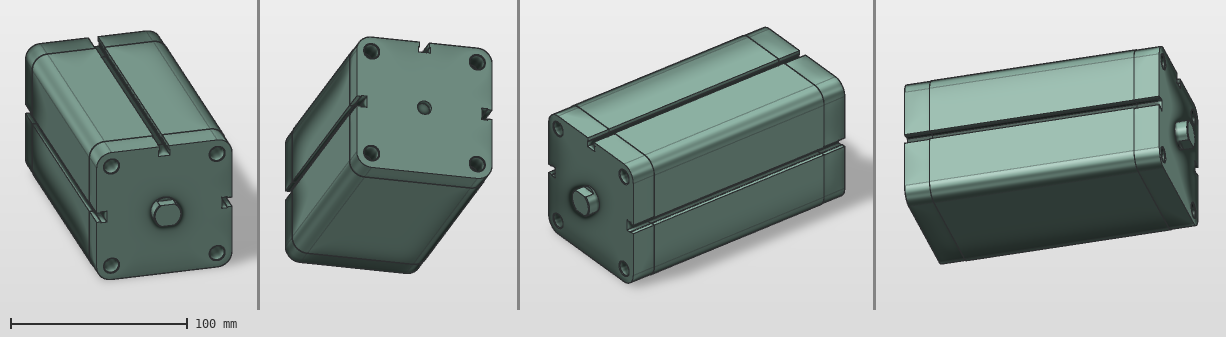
import cadquery as cq

total_length = 157.5
rod_protrusion = 7.5
cap_length = 14.8
section_side = 80.0
corner_radius = 9.0
cap_inset = 0.25
housing_length = total_length - rod_protrusion
barrel_length = housing_length - 2 * cap_length
front_cap_start = cap_length + barrel_length

slot_mouth_width = 5.2
slot_mouth_depth = 2.7
slot_channel_width = 6.3
slot_depth = 6.0
slot_angles = (0, 90, 180)

mount_hole_diameter = 8.5
mount_hole_spacing = 62.0
mount_hole_chamfer = 0.5

locating_hole_diameter = 8.0
locating_hole_depth = 4.0

rod_diameter = 16.0
rod_end_chamfer = 0.5
flat_distance = 13.0
flat_setback = 1.5
flat_ramp_length = 0.5


def slot_cutter(start, length, angle, inset):
    """Stepped slot in the +Y side, widened and deepened by the inset, turned about X by the angle."""
    side = section_side / 2
    shoulder = side - slot_mouth_depth - inset
    floor = side - slot_depth - inset
    mouth_half = slot_mouth_width / 2 + inset
    channel_half = slot_channel_width / 2 + inset
    cutter = (
        cq.Workplane("YZ", origin=(start, 0, 0))
        .moveTo(side, mouth_half)
        .lineTo(shoulder, mouth_half)
        .lineTo(shoulder, channel_half)
        .lineTo(floor, channel_half)
        .lineTo(floor, -channel_half)
        .lineTo(shoulder, -channel_half)
        .lineTo(shoulder, -mouth_half)
        .lineTo(side, -mouth_half)
        .close()
        .extrude(length)
    )
    return cutter.rotate((0, 0, 0), (1, 0, 0), angle)


def housing_section(start, length, inset=0):
    """Rounded square length of housing with its slots and mounting holes."""
    plane = cq.Workplane("YZ", origin=(start, 0, 0))
    side = section_side - 2 * inset
    section = plane.rect(side, side).extrude(length).edges("|X").fillet(corner_radius - inset)
    for angle in slot_angles:
        section = section.cut(slot_cutter(start, length, angle, inset))
    hole_centers = plane.rect(mount_hole_spacing, mount_hole_spacing, forConstruction=True).vertices()
    return section.cut(hole_centers.circle(mount_hole_diameter / 2).extrude(length))


def chamfer_mount_holes(cap, face_x, inward):
    """Break the hole edges on the outer face of a cap; inward is +1 or -1 along X."""
    offset = mount_hole_spacing / 2
    for y in (-offset, offset):
        for z in (-offset, offset):
            cone = cq.Solid.makeCone(
                mount_hole_diameter / 2 + mount_hole_chamfer,
                mount_hole_diameter / 2,
                mount_hole_chamfer,
                pnt=cq.Vector(face_x, y, z),
                dir=cq.Vector(inward, 0, 0),
            )
            cap = cap.cut(cq.Workplane(cone))
    return cap


def make_barrel():
    """Plain middle length of the housing, standing slightly proud of the caps."""
    return housing_section(cap_length, barrel_length)


def make_rear_cap():
    """Rear cap with its blind locating hole."""
    cap = chamfer_mount_holes(housing_section(0, cap_length, cap_inset), 0, 1)
    locating_hole = cq.Workplane("YZ").circle(locating_hole_diameter / 2).extrude(locating_hole_depth)
    return cap.cut(locating_hole)


def make_front_cap():
    """Front cap with the bore that the rod passes through."""
    cap = chamfer_mount_holes(housing_section(front_cap_start, cap_length, cap_inset), housing_length, -1)
    bore = cq.Workplane("YZ", origin=(front_cap_start, 0, 0)).circle(rod_diameter / 2).extrude(cap_length)
    return cap.cut(bore)


def make_rod():
    """Rod that runs from the barrel through the front cap, flats on top and bottom."""
    rod = (
        cq.Workplane("YZ", origin=(front_cap_start, 0, 0))
        .circle(rod_diameter / 2)
        .extrude(total_length - front_cap_start)
        .faces(">X")
        .chamfer(rod_end_chamfer)
    )
    flat_start = housing_length + flat_setback
    upper_flat = (
        cq.Workplane("XZ")
        .moveTo(flat_start, flat_distance / 2)
        .lineTo(total_length, flat_distance / 2)
        .lineTo(total_length, rod_diameter / 2)
        .lineTo(flat_start - flat_ramp_length, rod_diameter / 2)
        .close()
        .extrude(rod_diameter / 2, both=True)
    )
    return rod.cut(upper_flat).cut(upper_flat.mirror("XY"))


rear_cap = make_rear_cap()
barrel = make_barrel()
front_cap = make_front_cap()
rod = make_rod()

result = cq.Compound.makeCompound([rear_cap.val(), barrel.val(), front_cap.val(), rod.val()])